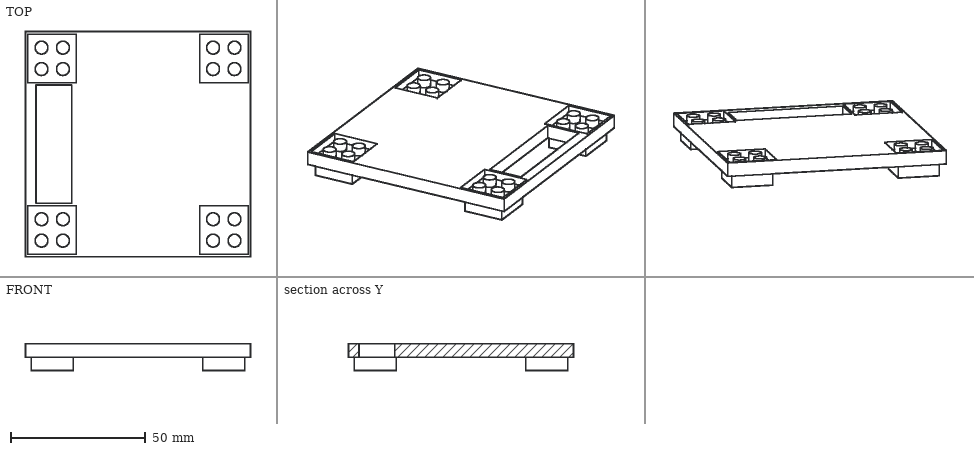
import cadquery as cq

side = 84.0
total_height = 10.0
foot_height = 4.9
plate_height = total_height - foot_height

pocket_rim = 1.0
pocket_width = 18.1
pocket_depth = 3.0
foot_width = 15.8
corner_offset = side / 2 - pocket_rim - pocket_width / 2

stud_diameter = 4.8
stud_height = pocket_depth
stud_pitch = 8.0

slot_margin = 4.0
slot_width = 13.3
slot_length = 44.0
slot_center_x = -side / 2 + slot_margin + slot_width / 2

pocket_floor_z = total_height - pocket_depth
corners = [
    (x, y)
    for x in (-corner_offset, corner_offset)
    for y in (-corner_offset, corner_offset)
]


def square_block(width, height, base_z, centers):
    """Square blocks of one size standing at base_z on the given centres."""
    return (
        cq.Workplane("XY", origin=(0, 0, base_z))
        .pushPoints(centers)
        .rect(width, width)
        .extrude(height)
    )


def stud_group(center):
    """Two-by-two studs rising from the floor of one pocket."""
    return (
        cq.Workplane("XY", origin=(center[0], center[1], pocket_floor_z))
        .rarray(stud_pitch, stud_pitch, 2, 2)
        .circle(stud_diameter / 2)
        .extrude(stud_height)
    )


plate = square_block(side, plate_height, foot_height, [(0, 0)])
feet = square_block(foot_width, foot_height, 0, corners)
pockets = square_block(pocket_width, pocket_depth, pocket_floor_z, corners)
slot = (
    cq.Workplane("XY", origin=(slot_center_x, 0, foot_height))
    .rect(slot_width, slot_length)
    .extrude(plate_height)
)

result = plate.union(feet).cut(pockets).cut(slot)
for corner in corners:
    result = result.union(stud_group(corner))